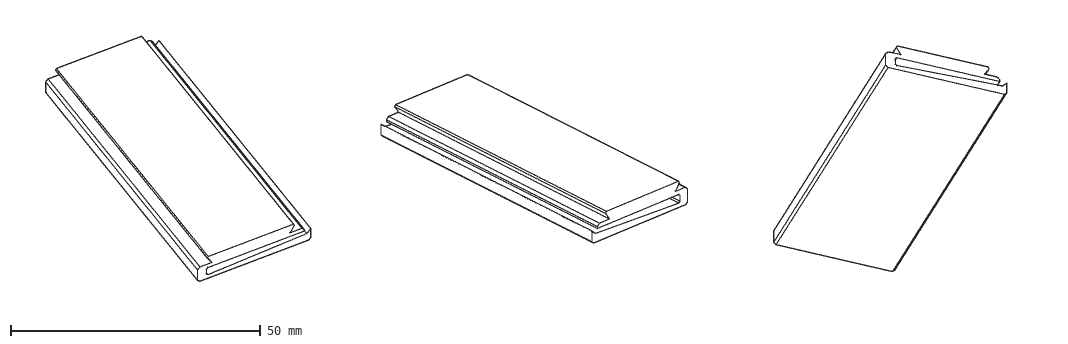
import cadquery as cq

length = 63.0
width = 26.0
height = 6.0

plate_top = 4.0
plate_bottom = 2.95
spine_thickness = 2.1
lip_setback = 1.5
slot_floor_inner = 1.0
slot_floor_outer = 2.0
slot_corner = 0.3
hook_size = 0.95
hook_tip = slot_floor_outer + hook_size

rail_width = 20.0
rail_start = 2.25
rail_undercut = 1.0
rail_chamfer_width = 0.2
rail_chamfer_height = 0.45

plate_chamfer = 0.55
base_chamfer = 0.5

front = -width / 2
back = width / 2
spine_inner = front + spine_thickness
lip = back - lip_setback
rail_front = front + rail_start
rail_back = rail_front + rail_width
rail_edge = height - rail_chamfer_height

profile = [
    (front + base_chamfer, 0),
    (back - base_chamfer, 0),
    (back, base_chamfer),
    (back, hook_tip),
    (back - hook_size, slot_floor_outer),
    (spine_inner + slot_corner, slot_floor_inner),
    (spine_inner, slot_floor_inner + slot_corner),
    (spine_inner, plate_bottom - slot_corner),
    (spine_inner + slot_corner, plate_bottom),
    (lip, plate_bottom),
    (lip, plate_top - plate_chamfer),
    (lip - plate_chamfer, plate_top),
    (rail_back - rail_undercut, plate_top),
    (rail_back, rail_edge),
    (rail_back - rail_chamfer_width, height),
    (rail_front + rail_chamfer_width, height),
    (rail_front, rail_edge),
    (rail_front + rail_undercut, plate_top),
    (front + plate_chamfer, plate_top),
    (front, plate_top - plate_chamfer),
    (front, base_chamfer),
]

result = (
    cq.Workplane("YZ")
    .workplane(offset=-length / 2)
    .polyline(profile)
    .close()
    .extrude(length)
)